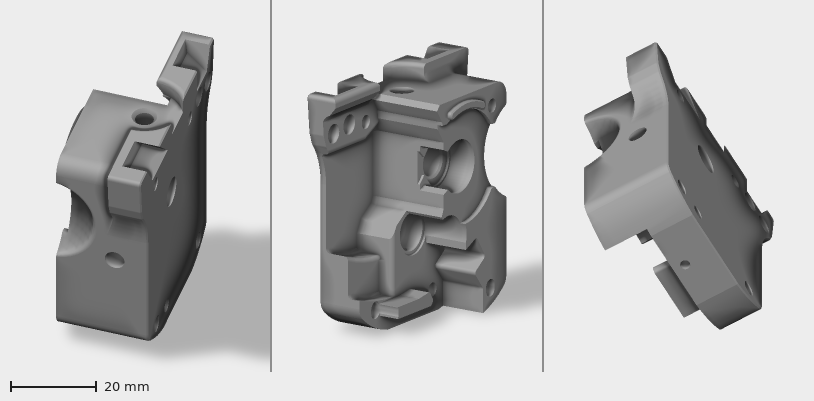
import cadquery as cq
import math


BACK = 22.55
RIB_RISE = 1.2
GEAR_LEVEL = 1.35
SHELF_LEVEL = 6.0
LOWER_LEVEL = 11.3
FLANGE_FRONT = 14.4
STEP_LEVEL = 14.5
EAR_LEVEL = 18.25
PANEL_LEVEL = 20.75
CLEAR = 5.95

HALF_WIDTH = 22.1
FLANGE_HALF = 27.5
HEIGHT = 59.3
BLOCK_TOP = 55.15
BLOCK_CORNER = 3.8
BOTTOM_CORNER = 3.55
EAR_CORNER = 0.95
HIP_FILLET = 1.5
SCOOP_RIM_FILLET = 0.85
EAR_STEP_FILLET = 1.4
LOWER_WALL_FILLET = 1.05
BOTTOM_FLAT_HALF = 10.55
BACK_CHAMFER = 0.35
BLEND = 1.9
LIP_ROUND = 1.1
RECESS_FILLET = 1.0

BORE_Y = -4.45
BORE_Z = 37.7
BORE_DIA = 7.3
BORE_RIM_DIA = 8.2
GEAR_RADIUS = 13.95
HUB_RADIUS = 6.45
HUB_INNER_RADIUS = 5.95
HUB_LEVEL = 8.1
HUB_INNER_LEVEL = 8.7

SEAT_Y = -0.1
SEAT_Z = 21.15
SEAT_COLLAR_RADIUS = 5.6
SEAT_CUP_RADIUS = 4.7
SEAT_CUP_LEVEL = 17.8
SEAT_CENTRE_RADIUS = 2.65
SEAT_FLOOR_FILLET = 1.4

TOP_SCREW_RADIUS = 2.2
TOP_SINK_DIA = 6.0
DRILL_RADIUS = 1.2
SIDE_HOLE_DIA = 4.8
SIDE_HOLE_Z = 29.0
SIDE_HOLE_DEPTH = 11.85
SLOT_Y = 15.5
SLOT_Z = 5.9
SLOT_HEIGHT = 4.2
SLOT_WIDTH = 3.55
SCREW_HOLES = [
    (22.65, 49.3, 4.7),
    (16.2, 50.0, 4.8),
    (9.3, 49.05, 3.4),
    (-16.2, 49.95, 3.4),
    (-8.05, 5.4, 3.4),
]

WALL_Y = 1.85
LOWER_WALL_Y = 8.4
WALL_BEND_TOP = (2.65, 27.0)
WALL_BEND_MIDDLE = (6.8, 24.3)
WALL_BEND_LOW = (LOWER_WALL_Y, 21.35)
ARM_Y = 8.0
ARM_Z = 54.25
STEP_ARC_RADIUS = 37.2
BORDER_ARC_RADIUS = 46.8


def prism(points, start, end):
    """Closed polygon of (Y, Z) points extruded along X."""
    return cq.Workplane("YZ", origin=(start, 0, 0)).polyline(points).close().extrude(end - start)


def rod(y, z, radius, start, end):
    """Cylinder along X."""
    return cq.Workplane("YZ", origin=(start, y, z)).circle(radius).extrude(end - start)


def block_sides(sketch):
    """Finish an outline from the left wall, round the bottom, up to the right wall."""
    rise = 6.1
    bow_y, bow_z = 16.9, 2.25
    return (
        sketch
        .lineTo(HALF_WIDTH, rise)
        .threePointArc((bow_y, bow_z), (BOTTOM_FLAT_HALF, 0))
        .lineTo(-BOTTOM_FLAT_HALF, 0)
        .threePointArc((-bow_y, bow_z), (-HALF_WIDTH, rise))
    )


def soften_bottom(solid):
    """Round the two corners between the side walls and the bottom arcs."""
    low_zone = cq.selectors.BoxSelector((-0.6, -HALF_WIDTH - 0.6, 1.2), (BACK + 0.6, HALF_WIDTH + 0.6, 11.85))
    return solid.edges("|X").edges(low_zone).fillet(BOTTOM_CORNER)


def make_block():
    """Main block with one rounded top corner."""
    sketch = cq.Workplane("YZ").moveTo(HALF_WIDTH, BLOCK_TOP)
    sketch = block_sides(sketch).lineTo(-HALF_WIDTH, BLOCK_TOP - BLOCK_CORNER)
    block = (
        sketch
        .radiusArc((-HALF_WIDTH + BLOCK_CORNER, BLOCK_TOP), BLOCK_CORNER)
        .close()
        .extrude(FLANGE_FRONT + 0.6)
    )
    return soften_bottom(block)


def flange_plate(start, end):
    """Full-height plate whose top widens into two ears."""
    shoulder_z = 58.25
    hip_y, hip_z = 26.75, 49.7
    knee_y, knee_z = 25.75, 46.7
    waist_radius = 16.55
    root_z = knee_z - math.sqrt(waist_radius ** 2 - (waist_radius - knee_y + HALF_WIDTH) ** 2)
    sketch = cq.Workplane("YZ", origin=(start, 0, 0)).moveTo(FLANGE_HALF, HEIGHT)
    sketch = (
        sketch
        .lineTo(FLANGE_HALF, shoulder_z)
        .lineTo(hip_y, hip_z)
        .lineTo(knee_y, knee_z)
        .radiusArc((HALF_WIDTH, root_z), -waist_radius)
    )
    sketch = block_sides(sketch).lineTo(-HALF_WIDTH, root_z)
    plate = (
        sketch
        .radiusArc((-knee_y, knee_z), -waist_radius)
        .lineTo(-hip_y, hip_z)
        .lineTo(-FLANGE_HALF, shoulder_z)
        .lineTo(-FLANGE_HALF, HEIGHT)
        .close()
        .extrude(end - start)
    )
    hips = plate.edges("|X").edges(cq.selectors.BoxSelector(
        (start - 0.6, -FLANGE_HALF, knee_z - 0.6), (end + 0.6, FLANGE_HALF, hip_z + 0.6)))
    return soften_bottom(hips.fillet(HIP_FILLET))


def make_flange():
    """Plate with rounded top corners and a chamfered back rim."""
    plate = flange_plate(FLANGE_FRONT, BACK)
    plate = plate.edges("|X").edges(">Z").fillet(EAR_CORNER)
    return plate.faces(">X").edges().chamfer(BACK_CHAMFER)


def make_blend():
    """Concave blend where the block meets the front of the flange."""
    start = FLANGE_FRONT - BLEND
    left = 5.95
    low = 35.6
    side, top = -HALF_WIDTH, BLOCK_TOP
    outer_side, outer_top = side - BLEND, top + BLEND
    corner_z, corner_y = top - BLOCK_CORNER, side + BLOCK_CORNER
    outer_corner = BLOCK_CORNER + BLEND

    def outline(sketch):
        return (
            sketch
            .lineTo(outer_side, corner_z)
            .radiusArc((corner_y, outer_top), outer_corner)
            .lineTo(left, outer_top)
        )

    filler = outline(cq.Workplane("YZ", origin=(start, 0, 0)).moveTo(outer_side, low))
    filler = filler.lineTo(left, low).close().extrude(BLEND)
    path = outline(cq.Workplane("YZ", origin=(start, 0, 0)).moveTo(outer_side, low))
    pipe = cq.Workplane("XY", origin=(start, outer_side, low)).circle(BLEND).sweep(path)
    return filler.cut(pipe).intersect(flange_plate(start, FLANGE_FRONT))


def scoop():
    """Ball that hollows the side and the front face, centred outside both."""
    radius = 12.15
    ahead, aside = 1.85, 4.5
    return cq.Workplane("XY").sphere(radius).translate((-ahead, -HALF_WIDTH - aside, BORE_Z))


def side_scooped(block):
    """Cut the ball scoop and round its rim on the side face."""
    hollow = block.cut(scoop())
    rim = hollow.edges(cq.selectors.BoxSelector(
        (2.95, -HALF_WIDTH - 0.05, BORE_Z - 11.85), (11.85, -HALF_WIDTH + 0.05, BORE_Z + 11.85)))
    return rim.fillet(SCOOP_RIM_FILLET)


def recess_wall():
    """(Y, Z) points down the inner wall of the side recess."""
    return [
        (5.45, HEIGHT + 0.6), (5.45, BLOCK_TOP), (6.6, 53.85), (4.45, 50.7), (4.25, 48.75), (WALL_Y, 44.95),
        (WALL_Y, 28.95), WALL_BEND_TOP, WALL_BEND_MIDDLE, WALL_BEND_LOW, (LOWER_WALL_Y, -CLEAR),
    ]


def recess_zone(end):
    """Everything on the open side of the recess wall, up to a given depth."""
    far = FLANGE_HALF + CLEAR
    return prism(recess_wall() + [(far, -CLEAR), (far, HEIGHT + 0.6)], -CLEAR, end)


def ear_tool():
    """Space in front of the drilled ear, with the lip left standing above it."""
    lip_low, ear_top = 57.15, 53.1
    slope_end_x, slope_end_z = 16.25, 55.05
    profile = (
        cq.Workplane("XZ", origin=(0, FLANGE_HALF + CLEAR, 0))
        .moveTo(-CLEAR, HEIGHT + 0.6)
        .lineTo(FLANGE_FRONT + LIP_ROUND, HEIGHT + 0.6)
        .lineTo(FLANGE_FRONT + LIP_ROUND, HEIGHT)
        .radiusArc((FLANGE_FRONT, HEIGHT - LIP_ROUND), -LIP_ROUND)
        .lineTo(FLANGE_FRONT, lip_low)
        .lineTo(slope_end_x, slope_end_z)
        .threePointArc((17.55, 54.2), (EAR_LEVEL, ear_top))
        .lineTo(EAR_LEVEL, 35.6)
        .lineTo(-CLEAR, 35.6)
        .close()
        .extrude(2 * FLANGE_HALF)
    )
    lip_end = 8.25
    beyond_lip = prism(
        [(0, 47.45), (lip_end, 47.45), (lip_end, BLOCK_TOP), (0, BLOCK_TOP)], -CLEAR, EAR_LEVEL)
    return profile.union(beyond_lip).intersect(recess_zone(BACK))


def panel_tool():
    """Deep panel between the ear and the upper step arc."""
    shoulder_z = 44.35
    far = FLANGE_HALF + CLEAR
    cap = [(far, shoulder_z), (8.9, shoulder_z), (1.8, 47.75), (-CLEAR, 47.75), (-CLEAR, 0), (far, 0)]
    tool = recess_zone(PANEL_LEVEL).intersect(prism(cap, -CLEAR, PANEL_LEVEL))
    tool = tool.intersect(rod(ARM_Y, ARM_Z, STEP_ARC_RADIUS, -CLEAR, PANEL_LEVEL))
    return tool.faces(">X").edges().fillet(RECESS_FILLET)


def step_tool():
    """Middle step between the two concentric arcs."""
    tool = recess_zone(STEP_LEVEL).intersect(rod(ARM_Y, ARM_Z, BORDER_ARC_RADIUS, -CLEAR, STEP_LEVEL))
    cap_z, far = 21.05, FLANGE_HALF + CLEAR
    tool = tool.intersect(prism([(0, cap_z), (far, cap_z), (far, 0), (0, 0)], -CLEAR, STEP_LEVEL))
    return tool.faces(">X").edges("%CIRCLE").fillet(RECESS_FILLET)


def lower_tool():
    """Lower face: toothed edge on one side, bearing seat above, open to the recess."""
    far = FLANGE_HALF + CLEAR
    edge = [
        (-5.35, 22.55), (-5.35, 17.45), (-9.8, 19.5), (-13.45, 14.05), (-8.9, 11.0), (-12.45, 6.5),
        (-12.45, -CLEAR), (far, -CLEAR), (far, WALL_BEND_LOW[1]), WALL_BEND_LOW, WALL_BEND_MIDDLE,
        WALL_BEND_TOP, (0, 23.7),
    ]
    face = prism(edge, -CLEAR, LOWER_LEVEL)
    tooth_zone = cq.selectors.BoxSelector((-11.85, -14.25, 5.95), (LOWER_LEVEL, -8.3, 20.15))
    face = face.edges("|X").edges(tooth_zone).fillet(0.9)
    return face.union(rod(SEAT_Y, SEAT_Z, SEAT_COLLAR_RADIUS, -CLEAR, LOWER_LEVEL))


def gear_tool():
    """Round gear pocket with a side channel running out through the scoop."""
    channel_top, channel_low = 45.4, 30.0
    out = -HALF_WIDTH - CLEAR
    channel = [
        (BORE_Y, 47.45), (-12.2, 48.9), (-15.7, channel_top), (out, channel_top),
        (out, channel_low), (-16.0, channel_low), (-13.45, 27.3), (BORE_Y, 27.3),
    ]
    channel = prism(channel, -CLEAR, GEAR_LEVEL)
    mouth_zone = cq.selectors.BoxSelector((-11.85, -16.3, 23.7), (GEAR_LEVEL, -15.4, 47.45))
    channel = channel.edges("|X").edges(mouth_zone).fillet(1.5)
    corner = prism([(4.75, 49.8), (2.4, 49.8), (0, 47.45), (0, 41.5), (4.75, 41.5)], -CLEAR, GEAR_LEVEL)
    return rod(BORE_Y, BORE_Z, GEAR_RADIUS, -CLEAR, GEAR_LEVEL).union(channel).union(corner)


def hub_tool():
    """Two-level hub pocket that opens into the side recess, and the through bore."""
    def mirrored(points):
        upper = [(y, BORE_Z + dz) for y, dz in points]
        lower = [(y, BORE_Z - dz) for y, dz in reversed(points)]
        return upper + lower

    mouth = WALL_Y + 0.6
    outer_throat = mirrored([(BORE_Y, 2.95), (0.25, 4.7), (mouth, 5.7)])
    outer = rod(BORE_Y, BORE_Z, HUB_RADIUS, -CLEAR, HUB_LEVEL)
    outer = outer.union(prism(outer_throat, -CLEAR, HUB_LEVEL))

    inner_throat = mirrored([(BORE_Y - 7.1, 7.1), (-3.3, 5.8), (0.0, 2.2), (mouth, 4.55)])
    exit_channel = mirrored([(-0.6, 4.75), (mouth, 4.75)])
    inner = rod(BORE_Y, BORE_Z, HUB_INNER_RADIUS, 0, HUB_INNER_LEVEL)
    inner = inner.union(prism(exit_channel, 0, HUB_INNER_LEVEL))
    inner = inner.intersect(prism(inner_throat, 0, HUB_INNER_LEVEL))

    bore = rod(BORE_Y, BORE_Z, BORE_DIA / 2, 0, BACK + 0.6)
    rim_size = (BORE_RIM_DIA - BORE_DIA) / 2
    rim = rod(BORE_Y, BORE_Z, BORE_RIM_DIA / 2, 0, HUB_INNER_LEVEL + rim_size)
    rim = rim.faces(">X").edges().chamfer(rim_size)
    return outer.union(inner).union(bore).union(rim)


def seat_tool():
    """Stepped blind seat with a rounded floor."""
    collar = rod(SEAT_Y, SEAT_Z, SEAT_COLLAR_RADIUS, -CLEAR, LOWER_LEVEL + 0.6)
    cup = rod(SEAT_Y, SEAT_Z, SEAT_CUP_RADIUS, 0, SEAT_CUP_LEVEL)
    cup = cup.faces(">X").edges().fillet(SEAT_FLOOR_FILLET)
    return collar.union(cup).union(rod(SEAT_Y, SEAT_Z, SEAT_CENTRE_RADIUS, 0, SEAT_CUP_LEVEL + 0.6))


def slot_hole(y):
    """Upright slotted screw hole near the bottom."""
    start = cq.Workplane("YZ", origin=(-0.6, y, SLOT_Z))
    return start.slot2D(SLOT_HEIGHT, SLOT_WIDTH, 90).extrude(BACK + 1.2)


def top_screw_tool():
    """Countersunk screw hole from the top with a small bore through to the bottom."""
    sink_depth, shank_depth = 0.85, 8.3
    tip = TOP_SCREW_RADIUS - DRILL_RADIUS - 0.05
    top = cq.Workplane("XY", origin=(FLANGE_FRONT, 0, BLOCK_TOP))
    cone = top.circle(TOP_SINK_DIA / 2).workplane(offset=-sink_depth).circle(TOP_SCREW_RADIUS).loft()
    shank = top.circle(TOP_SCREW_RADIUS).extrude(-shank_depth).faces("<Z").edges().chamfer(tip)
    drill = cq.Workplane("XY", origin=(FLANGE_FRONT, 0, -0.6)).circle(DRILL_RADIUS).extrude(BLOCK_TOP)
    return cone.union(shank).union(drill)


def side_hole():
    """Blind hole in the side face under the blend."""
    start = cq.Workplane("XZ", origin=(FLANGE_FRONT, -HALF_WIDTH, SIDE_HOLE_Z))
    return start.circle(SIDE_HOLE_DIA / 2).extrude(-SIDE_HOLE_DEPTH)


def ear_pocket(inner_y, outer_y, inner_lean, outer_lean):
    """Pocket in the top of an ear, open at the back, with a falling floor and side walls that lean
    along Y by the given amounts at the back of the floor."""
    front, back = 16.4, BACK + 0.6
    floor_front = front + 0.9
    front_z, back_z, top_z = 56.35, 52.65, HEIGHT + 0.05
    front_share = (top_z - front_z) / (top_z - back_z)
    lower = cq.Wire.makePolygon([
        cq.Vector(floor_front, inner_y + inner_lean * front_share, front_z),
        cq.Vector(back, inner_y + inner_lean, back_z),
        cq.Vector(back, outer_y + outer_lean, back_z),
        cq.Vector(floor_front, outer_y + outer_lean * front_share, front_z),
    ], close=True)
    upper = cq.Wire.makePolygon([
        cq.Vector(front, inner_y, top_z), cq.Vector(back, inner_y, top_z),
        cq.Vector(back, outer_y, top_z), cq.Vector(front, outer_y, top_z),
    ], close=True)
    return cq.Workplane(cq.Solid.makeLoft([lower, upper], True))


def well():
    """Round clearance above the block top, with a rounded rim through the flange."""
    radius = 9.1
    profile = (
        cq.Workplane("XZ")
        .moveTo(0, BLOCK_TOP)
        .lineTo(radius, BLOCK_TOP)
        .lineTo(radius, HEIGHT - LIP_ROUND)
        .radiusArc((radius + LIP_ROUND, HEIGHT), LIP_ROUND)
        .lineTo(radius + LIP_ROUND, HEIGHT + 0.6)
        .lineTo(0, HEIGHT + 0.6)
        .close()
    )
    return profile.revolve(360, (0, 0, 0), (0, 1, 0)).translate((FLANGE_FRONT, 0, 0))


def arc_rib():
    """Raised arc-shaped rib around the gear pocket."""
    inner, outer = 14.2, 16.1
    middle = (inner + outer) / 2

    def at(radius, degrees):
        """Point around the bore at an angle from straight up, positive towards +Y."""
        angle = math.radians(degrees)
        return (BORE_Y + radius * math.sin(angle), BORE_Z + radius * math.cos(angle))

    first, last = -25.4, 22.5
    cap = math.degrees((outer - inner) / 2 / middle)
    rib = (
        cq.Workplane("YZ", origin=(-RIB_RISE, 0, 0))
        .moveTo(*at(outer, first))
        .threePointArc(at(outer, 0), at(outer, last))
        .threePointArc(at(middle, last + cap), at(inner, last))
        .threePointArc(at(inner, 0), at(inner, first))
        .threePointArc(at(middle, first - cap), at(outer, first))
        .close()
        .extrude(RIB_RISE + 0.6)
    )
    return rib.faces("<X").edges().chamfer(0.3)


def shelf():
    """Short shelf standing on the lower face."""
    outline = [(13.9, 7.1), (5.35, 7.1), (0.9, 7.75), (-0.8, 5.4), (0.25, 4.2), (13.9, 4.2)]
    solid = prism(outline, SHELF_LEVEL, LOWER_LEVEL + 0.6)
    tip_zone = cq.selectors.BoxSelector((0, -1.2, 4.15), (BACK, 1.8, 8.3))
    return solid.edges("|X").edges(tip_zone).fillet(0.7)


def rounded_steps(solid):
    """Round the outer edges of the steps in the side recess."""
    hair = 0.005
    inside = HALF_WIDTH - 0.6

    def edges_at(level, low_y, low_z, high_y, high_z):
        return cq.selectors.BoxSelector((level - hair, low_y, low_z), (level + hair, high_y, high_z))

    solid = solid.edges(edges_at(EAR_LEVEL, 3.85, 43.9, inside, 46.85)).fillet(EAR_STEP_FILLET)
    solid = solid.edges(edges_at(STEP_LEVEL, 9.5, 14.8, inside, 20.75)).fillet(RECESS_FILLET)
    wall_low, wall_high = LOWER_WALL_Y - hair, LOWER_WALL_Y + hair
    return solid.edges(edges_at(LOWER_LEVEL, wall_low, 7.1, wall_high, 21.35)).fillet(LOWER_WALL_FILLET)


def step_foot():
    """Concave strip between the middle step and the side wall."""
    low, high = 7.1, 16.05
    size = RECESS_FILLET
    return (
        cq.Workplane("XY", origin=(STEP_LEVEL, LOWER_WALL_Y, low))
        .lineTo(-size, 0)
        .radiusArc((0, size), -size)
        .close()
        .extrude(high - low)
    )


part = side_scooped(make_block())
part = part.union(make_flange()).union(make_blend())
part = part.cut(well())
for tool in (lower_tool(), ear_tool(), panel_tool(), step_tool(), gear_tool()):
    part = part.cut(tool)
part = rounded_steps(part)
part = part.union(step_foot()).union(shelf()).union(arc_rib())
for tool in (hub_tool(), seat_tool(), top_screw_tool()):
    part = part.cut(tool)

for hole_y, hole_z, diameter in SCREW_HOLES:
    part = part.cut(rod(hole_y, hole_z, diameter / 2, -0.6, BACK + 0.6))
for slot_y in (SLOT_Y, -SLOT_Y):
    part = part.cut(slot_hole(slot_y))
part = part.cut(side_hole())
part = part.cut(ear_pocket(14.7, 24.4, 0, -2.65))
part = part.cut(ear_pocket(-13.5, -22.8, 6.65, 4.45))
result = part